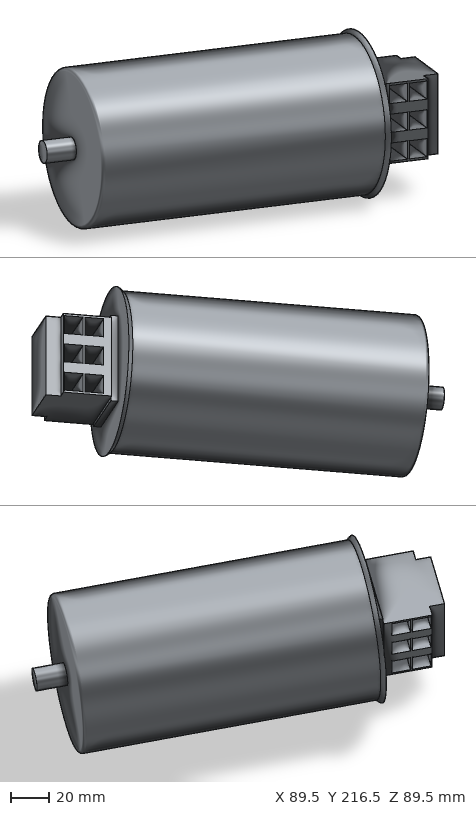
import cadquery as cq


total_length = 216.5
stud_length = 16.5
terminal_length = 37.9
can_length = total_length - stud_length - terminal_length

can_diameter = 85.3
rim_diameter = 89.5
rim_height = 2.5
rim_bulge_radius = 8.7
end_fillet = 2.0
stud_diameter = 12.1

plate_width = 39.8
plate_height = 47.6
plate_thickness = 4.0

block_side = 44.0
shoulder_width = 32.0
shoulder_depth = 8.0

window_side = 10.0
window_row_pitch = 15.8
window_column_pitch = 11.0
window_rows = 3
window_columns = 2
window_margin = 0.6

can_top = can_length
block_base = can_top + plate_thickness
block_top = can_top + terminal_length
shoulder = block_top - shoulder_depth


def box_along_y(width, height, start, end):
    """Box centred on the can axis, reaching from start to end in Y."""
    return cq.Workplane("XY").box(width, end - start, height).translate((0, (start + end) / 2, 0))


def make_can():
    """Can with a rounded closed end, a flared, slightly bulging rim and the mounting stud."""
    can_radius = can_diameter / 2
    rim_radius = rim_diameter / 2
    stud_radius = stud_diameter / 2
    return (
        cq.Workplane("XY")
        .moveTo(0, -stud_length)
        .lineTo(stud_radius, -stud_length)
        .lineTo(stud_radius, 0)
        .lineTo(can_radius - end_fillet, 0)
        .radiusArc((can_radius, end_fillet), -end_fillet)
        .lineTo(can_radius, can_top - rim_height)
        .radiusArc((rim_radius, can_top), -rim_bulge_radius)
        .lineTo(0, can_top)
        .close()
        .revolve(360, (0, 0, 0), (0, 1, 0))
    )


def make_terminal():
    """Base plate and stepped block with a grid of wire windows."""
    plate = box_along_y(plate_width, plate_height, can_top, block_base)
    wide_part = box_along_y(block_side, block_side, block_base, shoulder)
    narrow_part = box_along_y(shoulder_width, block_side, shoulder, block_top)
    block = wide_part.union(narrow_part)

    first_column = shoulder - window_margin - window_side / 2
    for row in range(window_rows):
        z = (row - (window_rows - 1) / 2) * window_row_pitch
        for column in range(window_columns):
            y = first_column - column * window_column_pitch
            window = cq.Workplane("XY").box(block_side, window_side, window_side)
            block = block.cut(window.translate((0, y, z)))
    return plate.union(block)


result = make_can().union(make_terminal())